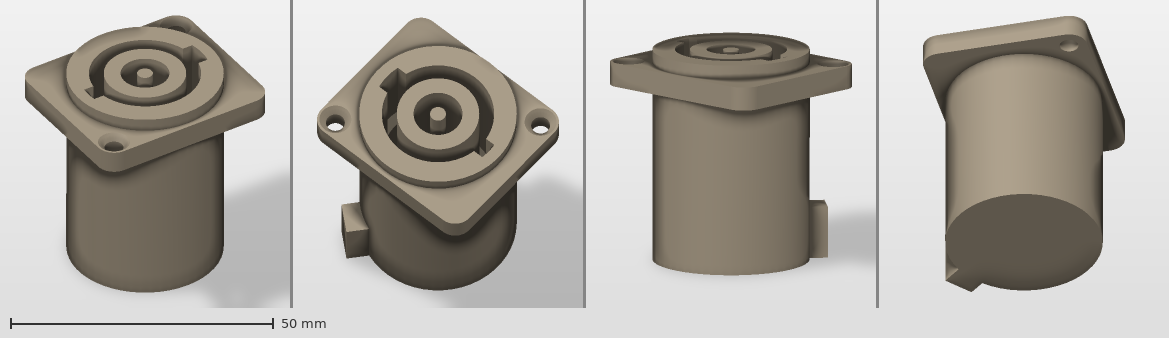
import cadquery as cq
import math

total_height = 40.8
collar_height = 2.55
plate_thickness = 4.5
plate_top = total_height - collar_height
plate_bottom = plate_top - plate_thickness

barrel_diameter = 30.0
overall_width = 33.37
plate_width = 32.0
plate_length = 37.0
plate_corner_radius = 3.5

hole_x = 12.5
hole_y = 15.0
hole_diameter = 3.6
countersink_diameter = 6.08
countersink_angle = 90

socket_depth = 24.5
socket_bottom = total_height - socket_depth
socket_diameter = 21.38
sleeve_outer_diameter = 15.7
sleeve_inner_diameter = 9.3
pin_diameter = 3.0

keyway_depth = 16.3
keyway_bottom = total_height - keyway_depth
keyway_outer_diameter = 25.45
wide_keyway_width = 5.45
narrow_keyway_width = 3.55

latch_tip_x = plate_width / 2 - overall_width
latch_tip_y = 8.05
latch_width = 6.15
latch_height = 9.95
latch_reach = 6.1
latch_angle = 49.5


def disc(diameter, bottom, height):
    """Upright cylinder on the part axis."""
    return cq.Workplane("XY").workplane(offset=bottom).circle(diameter / 2).extrude(height)


def make_plate():
    return (
        cq.Workplane("XY")
        .workplane(offset=plate_bottom)
        .rect(plate_width, plate_length)
        .extrude(plate_thickness)
        .edges("|Z")
        .fillet(plate_corner_radius)
        .faces(">Z")
        .workplane(origin=(0, 0, plate_top))
        .pushPoints([(-hole_x, hole_y), (hole_x, -hole_y)])
        .cskHole(hole_diameter, countersink_diameter, countersink_angle)
    )


def make_latch():
    angle = math.radians(latch_angle)
    along = cq.Vector(math.cos(angle), math.sin(angle)) * latch_width
    inward = cq.Vector(math.sin(angle), -math.cos(angle)) * latch_reach
    tip = cq.Vector(latch_tip_x, latch_tip_y)
    corners = [tip, tip + along, tip + along + inward, tip + inward]
    return cq.Workplane("XY").polyline([(c.x, c.y) for c in corners]).close().extrude(latch_height)


def make_keyway(width, side):
    """Slot from the axis to a concentric outer wall; side is +1 for +Y and -1 for -Y."""
    slot_length = keyway_outer_diameter / 2
    slot = (
        cq.Workplane("XY")
        .workplane(offset=keyway_bottom)
        .center(0, side * slot_length / 2)
        .rect(width, slot_length)
        .extrude(keyway_depth)
    )
    return slot.intersect(disc(keyway_outer_diameter, keyway_bottom, keyway_depth))


def make_socket():
    recess = disc(socket_diameter, socket_bottom, socket_depth)
    recess = recess.union(make_keyway(wide_keyway_width, 1))
    recess = recess.union(make_keyway(narrow_keyway_width, -1))
    sleeve = disc(sleeve_outer_diameter, socket_bottom, socket_depth)
    bore = disc(sleeve_inner_diameter, socket_bottom, socket_depth)
    pin = disc(pin_diameter, socket_bottom, socket_depth)
    return recess.cut(sleeve).union(bore.cut(pin))


body = make_plate().union(disc(barrel_diameter, 0, total_height)).union(make_latch())
result = body.cut(make_socket())